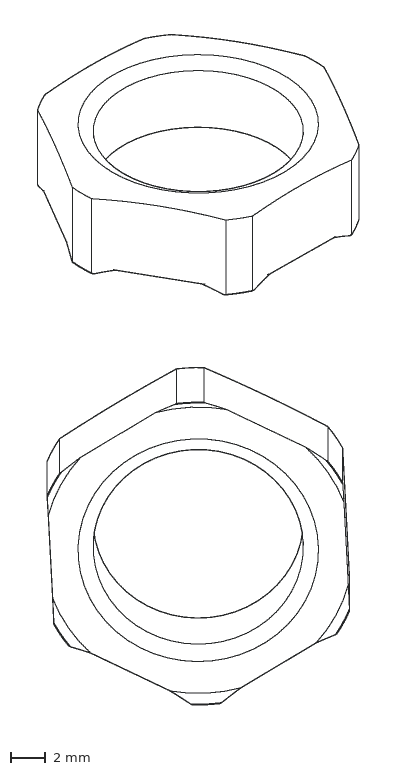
import cadquery as cq
import math

across_corners = 18.79
across_flats = 17.0
height = 5.5
bore_diameter = 12.06
countersink_diameter = 13.81
countersink_angle = 30.0
crown_angle = 15.0
recess_depth = 0.5
recess_roof_diameter = 17.75
recess_mouth_diameter = 18.68
side_count = 6

corner_radius = across_corners / 2
flat_radius = across_flats / 2
bore_radius = bore_diameter / 2
countersink_radius = countersink_diameter / 2
countersink_depth = (countersink_radius - bore_radius) * math.tan(math.radians(countersink_angle))
crown_drop = (corner_radius - flat_radius) * math.tan(math.radians(crown_angle))


def hexagon_body():
    """Hexagonal prism with flats facing +Y and -Y."""
    sharp_corner_diameter = across_flats / math.cos(math.pi / side_count)
    return cq.Workplane("XY").polygon(side_count, sharp_corner_diameter).extrude(height)


def turned_envelope():
    """Ring with a crowned top, countersunk bore and conical recess underneath.

    The recess is wider than the flats, so it breaks out through each one.
    """
    return (
        cq.Workplane("XZ")
        .moveTo(recess_mouth_diameter / 2, 0)
        .lineTo(corner_radius, 0)
        .lineTo(corner_radius, height - crown_drop)
        .lineTo(flat_radius, height)
        .lineTo(countersink_radius, height)
        .lineTo(bore_radius, height - countersink_depth)
        .lineTo(bore_radius, recess_depth + countersink_depth)
        .lineTo(countersink_radius, recess_depth)
        .lineTo(recess_roof_diameter / 2, recess_depth)
        .close()
        .revolve(360, (0, 0, 0), (0, 1, 0))
    )


result = hexagon_body().intersect(turned_envelope())